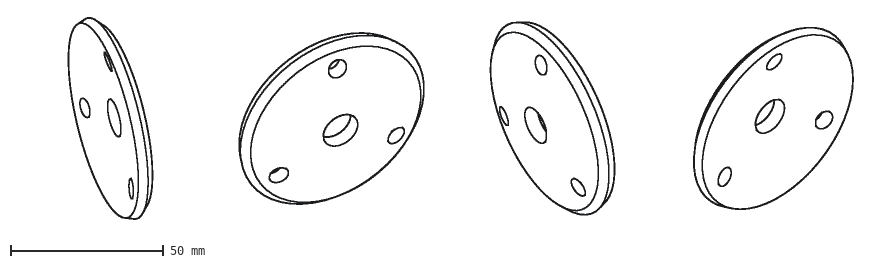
import cadquery as cq
import math

rim_radius = 34.0
rim_height = 3.0
undercut_angle = 20.0
bevel = 2.5
crown_height = 9.0
hollow_height = 3.8

centre_hole_radius = 6.3
screw_hole_diameter = 6.5
screw_circle_radius = 25.0
screw_hole_count = 3
first_screw_angle = 90.0

base_radius = rim_radius - rim_height * math.tan(math.radians(undercut_angle))
dome_edge_radius = rim_radius - bevel
dome_edge_height = rim_height + bevel


def axis_sphere_mid_point(inner_point, outer_point):
    """Point at mid radius on the sphere, centred on the Y axis, through both points."""
    (inner_r, inner_y), (outer_r, outer_y) = inner_point, outer_point
    centre_y = (inner_r**2 + inner_y**2 - outer_r**2 - outer_y**2) / (2 * (inner_y - outer_y))
    sphere_radius = math.hypot(inner_r, inner_y - centre_y)
    mid_r = (inner_r + outer_r) / 2
    return mid_r, centre_y + math.sqrt(sphere_radius**2 - mid_r**2)


def make_dished_ring():
    """Revolve the dished section around Y; its inner edge forms the centre hole."""
    hollow_top = (centre_hole_radius, hollow_height)
    crown = (centre_hole_radius, crown_height)
    base_edge = (base_radius, 0)
    dome_edge = (dome_edge_radius, dome_edge_height)
    section = (
        cq.Workplane("XY")
        .moveTo(*base_edge)
        .lineTo(rim_radius, rim_height)
        .lineTo(*dome_edge)
        .threePointArc(axis_sphere_mid_point(crown, dome_edge), crown)
        .lineTo(*hollow_top)
        .threePointArc(axis_sphere_mid_point(hollow_top, base_edge), base_edge)
        .close()
    )
    return section.revolve(360, (0, 0, 0), (0, 1, 0))


def make_screw_hole_cutters():
    """Evenly spaced pins along Y, one of them straight above the centre (+Z)."""
    return (
        cq.Workplane("XZ")
        .polarArray(screw_circle_radius, first_screw_angle, 360, screw_hole_count)
        .circle(screw_hole_diameter / 2)
        .extrude(-crown_height)
    )


result = make_dished_ring().cut(make_screw_hole_cutters())